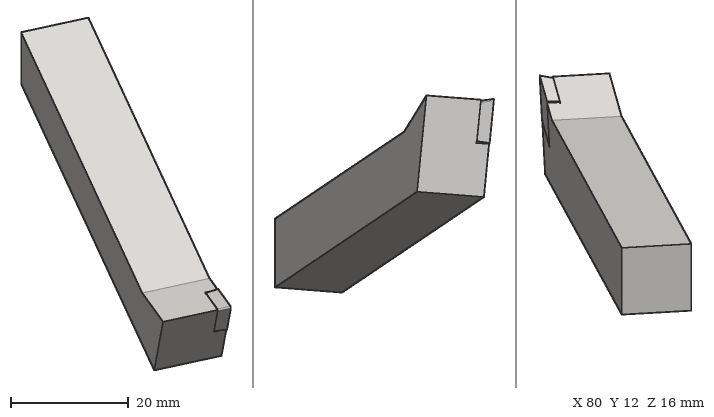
import cadquery as cq
import math

length = 80.0
shank_size = 12.0
overall_height = 16.0

wedge_angle = 55.0
half_wedge = math.radians(wedge_angle / 2)
edge_slope = math.radians(45 - wedge_angle / 2)

insert_thickness = 2.2
insert_edge = 7.8
clearance_angle = 7.0
nose_radius = 0.2

overhang = insert_thickness * math.tan(math.radians(clearance_angle))

nose_x = length - nose_radius
nose_z = overall_height - nose_radius
insert_tip_offset = nose_radius / math.sin(half_wedge) * math.cos(math.radians(45))
insert_tip_x = nose_x + insert_tip_offset
insert_tip_z = nose_z + insert_tip_offset

head_setback = overhang / math.sin(half_wedge) * math.cos(math.radians(45))
head_tip_x = insert_tip_x - head_setback
head_tip_z = insert_tip_z - head_setback
neck_x = head_tip_x - (head_tip_z - shank_size) / math.tan(edge_slope)
foot_x = head_tip_x - head_tip_z * math.tan(edge_slope)


def insert_outline():
    """Sharp rhombus of the insert's large face, on the +Y side of the holder."""
    long_step = insert_edge * math.cos(edge_slope)
    short_step = insert_edge * math.sin(edge_slope)
    return (
        cq.Workplane("XZ", origin=(insert_tip_x, shank_size, insert_tip_z))
        .moveTo(0, 0)
        .lineTo(-long_step, -short_step)
        .lineTo(-long_step - short_step, -long_step - short_step)
        .lineTo(-short_step, -long_step)
        .close()
    )


def make_holder():
    """Square shank with a raked head and a straight-walled insert pocket."""
    body = (
        cq.Workplane("XZ", origin=(0, shank_size, 0))
        .moveTo(0, 0)
        .lineTo(foot_x, 0)
        .lineTo(head_tip_x, head_tip_z)
        .lineTo(neck_x, shank_size)
        .lineTo(0, shank_size)
        .close()
        .extrude(shank_size)
    )
    pocket = insert_outline().extrude(insert_thickness)
    return body.cut(pocket)


def make_insert():
    """Rhombic insert with clearance on all flanks and a rounded cutting nose."""
    plate = insert_outline().extrude(insert_thickness, taper=clearance_angle)
    nose_edge = cq.selectors.NearestToPointSelector(
        (head_tip_x, shank_size - insert_thickness / 2, head_tip_z)
    )
    return plate.edges(nose_edge).fillet(nose_radius)


holder = make_holder()
cutting_insert = make_insert()

result = cq.Compound.makeCompound([holder.val(), cutting_insert.val()])